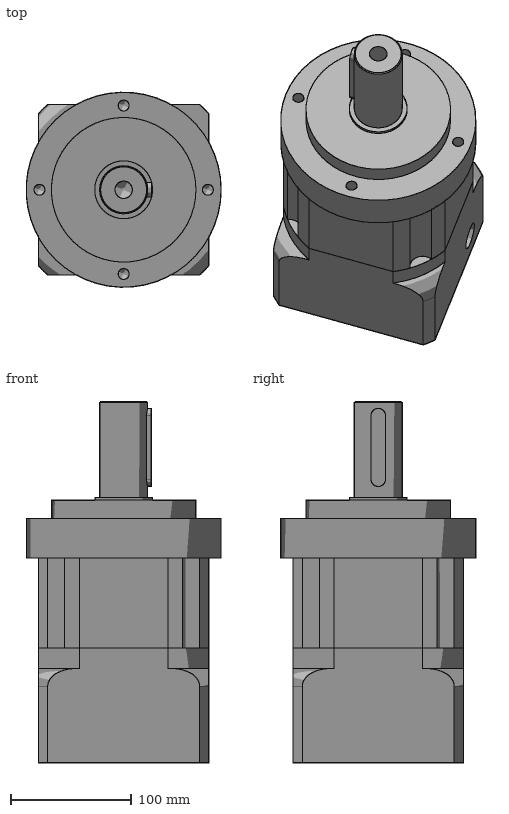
import cadquery as cq
import math


joint_z = 95.5
flange_bottom_z = 170.0
flange_height = 33.0
pilot_height = 15.0
collar_height = 2.5
shaft_top_z = 300.0
flange_top_z = flange_bottom_z + flange_height
pilot_top_z = flange_top_z + pilot_height
collar_top_z = pilot_top_z + collar_height

body_width = 141.5
case_radius = 79.8

shoulder_step = 15.0
shoulder_z = 78.5
corner_radius = case_radius + shoulder_step
adapter_bore_radius = 46.5
access_hole_diameter = 22.0
access_hole_y = -28.8
access_hole_z = 25.8

flange_diameter = 162.0
pilot_diameter = 120.0
collar_diameter = 48.0
hub_radius = 36.5
flute_radius = 10.5
flute_circle_radius = 82.5
flute_count = 4
first_flute_angle = 45
mount_hole_diameter = 9.0
mount_hole_depth = 20.0
mount_circle_radius = 70.0
mount_hole_count = 4

shaft_diameter = 40.0
shaft_chamfer = 1.0
center_hole_diameter = 14.5
center_hole_depth = 36.0
drill_tip_angle = 118.0
key_width = 12.0
key_length = 64.8
key_inner_x = 15.0
key_outer_x = 23.0
key_top_gap = 5.7


def disc(diameter, bottom_z, height):
    return cq.Workplane("XY").workplane(offset=bottom_z).circle(diameter / 2).extrude(height)


def square_block(bottom_z, height):
    return cq.Workplane("XY").workplane(offset=bottom_z).rect(body_width, body_width).extrude(height)


def drilled_hole(diameter, depth, top_z):
    """Cutter for a blind hole on the Z axis that ends in a drill tip."""
    radius = diameter / 2
    tip_height = radius / math.tan(math.radians(drill_tip_angle / 2))
    floor_z = top_z - depth
    return (
        cq.Workplane("XZ")
        .moveTo(0, top_z)
        .lineTo(radius, top_z)
        .lineTo(radius, floor_z)
        .lineTo(0, floor_z - tip_height)
        .close()
        .revolve(360, (0, 0, 0), (0, 1, 0))
    )


def make_adapter():
    """Square block trimmed by a turned shape: round corners, rounded shoulder and neck."""
    corner_top_z = shoulder_z - shoulder_step
    turned_shape = (
        cq.Workplane("XZ")
        .lineTo(0, joint_z)
        .lineTo(case_radius, joint_z)
        .lineTo(case_radius, shoulder_z)
        .radiusArc((corner_radius, corner_top_z), shoulder_step)
        .lineTo(corner_radius, 0)
        .close()
        .revolve(360, (0, 0, 0), (0, 1, 0))
    )
    bore = disc(2 * adapter_bore_radius, 0, joint_z)
    access_hole = (
        cq.Workplane("YZ")
        .workplane(offset=-body_width / 2)
        .center(access_hole_y, access_hole_z)
        .circle(access_hole_diameter / 2)
        .extrude(body_width / 2)
    )
    return square_block(0, joint_z).intersect(turned_shape).cut(bore).cut(access_hole)


def make_gear_case():
    """Square case with round corners and a vertical flute in each corner."""
    height = flange_bottom_z - joint_z
    case = square_block(joint_z, height).intersect(disc(2 * case_radius, joint_z, height))
    flutes = (
        cq.Workplane("XY")
        .workplane(offset=joint_z)
        .polarArray(flute_circle_radius, first_flute_angle, 360, flute_count)
        .circle(flute_radius)
        .extrude(height)
    )
    return case.cut(flutes)


def make_key():
    """Round-ended key on the +X side of the shaft."""
    return (
        cq.Workplane("YZ")
        .workplane(offset=key_inner_x)
        .center(0, shaft_top_z - key_top_gap - key_length / 2)
        .slot2D(key_length, key_width, 90)
        .extrude(key_outer_x - key_inner_x)
    )


def make_shaft():
    shaft = disc(shaft_diameter, collar_top_z, shaft_top_z - collar_top_z)
    shaft = shaft.faces(">Z").chamfer(shaft_chamfer)
    return shaft.cut(drilled_hole(center_hole_diameter, center_hole_depth, shaft_top_z)).cut(make_key())


def make_gearbox():
    """Gear case, flange, output shaft and input hub as one body."""
    flange = disc(flange_diameter, flange_bottom_z, flange_height)
    mount_hole = drilled_hole(mount_hole_diameter, mount_hole_depth, flange_top_z)
    for i in range(mount_hole_count):
        angle = math.radians(i * 360 / mount_hole_count)
        position = (mount_circle_radius * math.cos(angle), mount_circle_radius * math.sin(angle), 0)
        flange = flange.cut(mount_hole.translate(position))
    pilot = disc(pilot_diameter, flange_top_z, pilot_height)
    collar = disc(collar_diameter, pilot_top_z, collar_height)
    hub = disc(2 * hub_radius, 0, joint_z)
    return make_gear_case().union(flange).union(pilot).union(collar).union(make_shaft()).union(hub)


adapter = make_adapter()
gearbox = make_gearbox()
key = make_key()

result = cq.Compound.makeCompound([adapter.val(), gearbox.val(), key.val()])